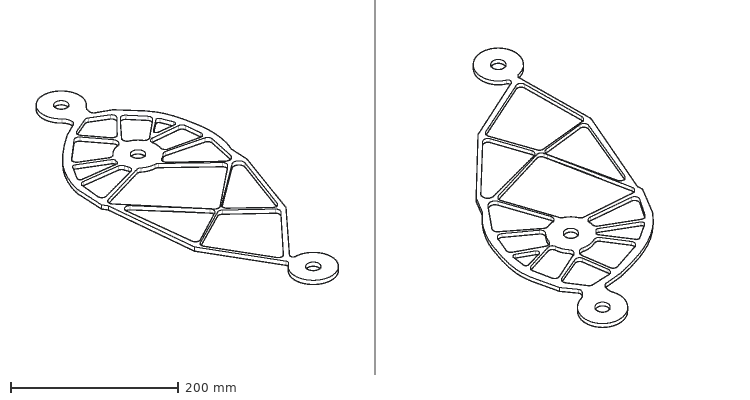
import cadquery as cq

thickness = 6.0
boss_diameter = 60.5
bore_diameter = 18.0
left_boss_x = -140.0
boss_spacing = 459.5
right_boss_x = left_boss_x + boss_spacing
boss_centers = [(left_boss_x, 0), (0, 0), (right_boss_x, 0)]

neck_top = 16.0
neck_bottom = -13.5
neck_end_x = -99.0

window_radius = 6.0
small_window_radius = 3.5
wide_corner_radius = 8.5
left_boss_blend = 15.5
left_rim_blend = 5.0
right_boss_blend = 4.0

left_tip = (-109.0, 0.5)
upper_flank = [
    (-91.5, 40.0), (-80.0, 52.0), (-51.5, 77.5), (-15.0, 92.0),
    (18.0, 98.5), (35.0, 98.5), (65.0, 91.5),
]
right_corners = [
    (93.5, 91.5), (203.5, 58.0), (294.5, -14.5), (195.0, -80.0),
    (61.0, -100.0), (54.0, -104.5),
]
lower_flank = [
    (9.5, -104.5), (-5.5, -101.0), (-38.0, -85.5), (-72.5, -54.0), (-86.0, -38.0),
]

left_window = [
    (-99.0, 3.0), (-81.5, 37.5), (-42.0, 3.5), (-81.0, -30.0),
]
upper_left_window = [
    (-77.5, 39.0), (-49.0, 66.5), (-11.5, 27.0), (-25.0, -3.0),
]
lower_left_window = [
    (-78.0, -33.0), (-23.0, 15.0), (-11.5, -21.0), (-38.0, -73.5),
]
lower_narrow_window = [
    (-33.5, -75.5), (-5.5, -20.0), (0.0, -20.0), (-3.0, -92.0),
]
lower_wide_window = [
    (1.5, -94.0), (4.5, -20.0), (18.0, -20.0), (47.0, -96.5),
]
upper_small_window = [
    (-44.5, 68.0), (-18.5, 80.0), (-20.0, 40.0),
]
upper_narrow_window = [
    (-14.0, 82.0), (23.0, 88.0), (13.5, 20.0), (-14.5, 23.5),
]
upper_wide_window = [
    (27.5, 89.5), (89.0, 79.5), (24.0, 0.0), (16.0, 20.0),
]
middle_window = [
    (26.0, -1.5), (85.0, 69.5), (153.5, -4.0), (54.0, -100.0), (21.0, -14.0),
]
upper_right_window = [
    (71.0, 92.5), (198.0, 53.5), (153.0, -1.5),
]
right_window = [
    (154.5, -6.0), (201.0, 51.5), (284.0, -15.5), (196.0, -74.0),
]
lower_right_window = [
    (64.0, -93.5), (151.5, -7.0), (193.0, -72.5),
]

hub_windows = [
    upper_left_window,
    lower_left_window,
    lower_narrow_window,
    lower_wide_window,
    upper_narrow_window,
    upper_wide_window,
    middle_window,
]
free_windows = [
    left_window,
    upper_small_window,
    upper_right_window,
    right_window,
    lower_right_window,
]
small_windows = [upper_small_window, lower_narrow_window]

hub_left_corner = (-28.5, 10.5)
wide_corners = [
    (lower_left_window, hub_left_corner),
    (upper_wide_window, upper_wide_window[1]),
    (upper_right_window, upper_right_window[0]),
]


def plate(points):
    """Plate of full thickness with the given corners."""
    return cq.Workplane("XY").polyline(points).close().extrude(thickness)


def disc(center, diameter):
    """Round plate of full thickness."""
    return cq.Workplane("XY").center(*center).circle(diameter / 2).extrude(thickness)


def blend(body, x_min, x_max, radius):
    """Round the upright edges near the X axis between two X positions."""
    selector = cq.selectors.BoxSelector(
        (x_min, -boss_diameter / 2, 0),
        (x_max, boss_diameter / 2, thickness),
    )
    return body.edges("|Z").edges(selector).fillet(radius)


def nearest_edge(edges, place):
    """Upright edge closest to a place in the plane."""
    target = cq.Vector(*place, thickness / 2)
    return min(edges, key=lambda edge: (edge.Center() - target).Length)


def window_cutter(points):
    """Window with rounded corners, trimmed to leave the hub whole."""
    cutter = plate(points)
    if points in hub_windows:
        cutter = cutter.cut(disc((0, 0), boss_diameter))
    corners = cutter.edges("|Z").vals()
    wide = [nearest_edge(corners, place) for window, place in wide_corners if window == points]
    others = [edge for edge in corners if not any(edge.isSame(wide_edge) for wide_edge in wide)]
    radius = small_window_radius if points in small_windows else window_radius
    if wide:
        cutter = cutter.newObject(wide).fillet(wide_corner_radius)
        places = [(edge.Center().x, edge.Center().y) for edge in others]
        corners = cutter.edges("|Z").vals()
        others = [nearest_edge(corners, place) for place in places]
    return cutter.newObject(others).fillet(radius)


neck = plate([
    (left_boss_x, neck_bottom),
    (neck_end_x, neck_bottom),
    (neck_end_x, neck_top),
    (left_boss_x, neck_top),
])
body = (
    cq.Workplane("XY")
    .polyline([left_tip, upper_flank[0]])
    .spline(upper_flank[1:], includeCurrent=True)
    .polyline(right_corners + lower_flank[:1], includeCurrent=True)
    .spline(lower_flank[1:], includeCurrent=True)
    .close()
    .extrude(thickness)
    .union(neck)
)
for center in (boss_centers[0], boss_centers[-1]):
    body = body.union(disc(center, boss_diameter))

left_boss_edge = left_boss_x + boss_diameter / 2
body = blend(body, left_boss_x, left_boss_edge, left_boss_blend)
body = blend(body, left_boss_edge, neck_end_x, left_rim_blend)
body = blend(body, right_boss_x - boss_diameter, right_boss_x, right_boss_blend)

for points in hub_windows + free_windows:
    body = body.cut(window_cutter(points))

for center in boss_centers:
    body = body.cut(disc(center, bore_diameter))

result = body